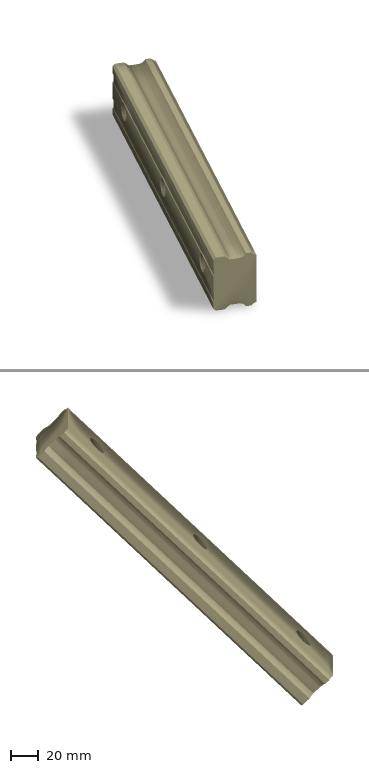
import cadquery as cq
import math

length = 270.0
depth = 32.0
height = 45.0
half_height = height / 2

chamfer = 2.0
front_crest_end = 8.5
channel_front = 12.5
channel_depth = 3.2

channel_rear = 19.7
front_track_foot = 21.3
front_track_depth = 2.7
rear_crest_start = 24.3
rear_crest_end = 28.5
rear_track_depth = 2.5
track_sag = 0.4

groove_inner = 7.0
groove_outer = 14.8
groove_depth = 0.5

hole_diameter = 14.0
hole_pitch = 105.0
hole_count = 3


def track_middle(crest_end, foot):
    """Middle point of a concave track, pushed below and inward of its chord."""
    side = math.copysign(1, foot[0] - crest_end[0])
    run = abs(foot[0] - crest_end[0])
    drop = crest_end[1] - foot[1]
    chord = math.hypot(run, drop)
    y_mid = (crest_end[0] + foot[0]) / 2 - side * track_sag * drop / chord
    z_mid = (crest_end[1] + foot[1]) / 2 - track_sag * run / chord
    return y_mid, z_mid


def make_half_rail():
    """Upper half of the rail, from the middle plane to the crests."""
    front_crest = (rear_crest_start, half_height)
    front_foot = (front_track_foot, half_height - front_track_depth)
    rear_crest = (rear_crest_end, half_height)
    rear_foot = (depth, half_height - rear_track_depth)
    floor = half_height - channel_depth
    return (
        cq.Workplane("YZ")
        .moveTo(0, 0)
        .lineTo(0, half_height - chamfer)
        .lineTo(chamfer, half_height)
        .lineTo(front_crest_end, half_height)
        .lineTo(channel_front, floor)
        .lineTo(channel_rear, floor)
        .lineTo(*front_foot)
        .threePointArc(track_middle(front_crest, front_foot), front_crest)
        .lineTo(*rear_crest)
        .threePointArc(track_middle(rear_crest, rear_foot), rear_foot)
        .lineTo(depth, 0)
        .close()
        .extrude(length)
    )


def make_front_groove():
    """Upper trapezoidal groove, running the full length above the holes."""
    return (
        cq.Workplane("YZ")
        .moveTo(0, groove_inner)
        .lineTo(groove_depth, groove_inner + groove_depth)
        .lineTo(groove_depth, groove_outer - groove_depth)
        .lineTo(0, groove_outer)
        .close()
        .extrude(length)
    )


def make_holes():
    """Row of through holes, centred along the rail."""
    return (
        cq.Workplane("XZ")
        .center(length / 2, 0)
        .rarray(hole_pitch, 2.7, hole_count, 1)
        .circle(hole_diameter / 2)
        .extrude(-depth)
    )


upper_half = make_half_rail().cut(make_front_groove())
rail = upper_half.union(upper_half.mirror("XY")).clean()
result = rail.cut(make_holes())